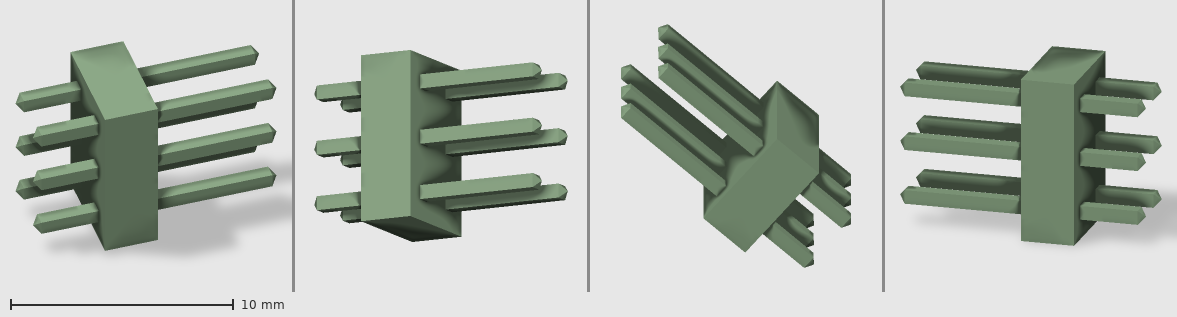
import cadquery as cq

body_width = 5.04
body_depth = 2.5
body_height = 7.62

columns = 2
rows = 3
pitch = 2.54
pin_side = 0.64
tip_length = 0.3
total_length = 11.5
front_reach = 3.0

pin_start = -body_depth / 2 - front_reach
shaft_length = total_length - 2 * tip_length


def make_tip(base_y, point_y):
    """Four-sided pyramid on the Y axis, from a pin-sized base to a point."""
    half = pin_side / 2
    corners = [
        cq.Vector(-half, base_y, -half),
        cq.Vector(half, base_y, -half),
        cq.Vector(half, base_y, half),
        cq.Vector(-half, base_y, half),
    ]
    point = cq.Vector(0, point_y, 0)
    outlines = [corners]
    for i, corner in enumerate(corners):
        outlines.append([corner, corners[i - 1], point])
    faces = [
        cq.Face.makeFromWires(cq.Wire.makePolygon(outline, close=True))
        for outline in outlines
    ]
    return cq.Workplane(cq.Solid.makeSolid(cq.Shell.makeShell(faces)))


def make_pin():
    """Square pin on the Y axis with a pyramid tip at both ends."""
    shaft_start = pin_start + tip_length
    shaft_end = shaft_start + shaft_length
    shaft = (
        cq.Workplane("XY")
        .box(pin_side, shaft_length, pin_side, centered=(True, False, True))
        .translate((0, shaft_start, 0))
    )
    front_tip = make_tip(shaft_start, pin_start)
    back_tip = make_tip(shaft_end, shaft_end + tip_length)
    return shaft.union(front_tip).union(back_tip)


result = cq.Workplane("XY").box(body_width, body_depth, body_height)

pin = make_pin()
for column in range(columns):
    for row in range(rows):
        x = (column - (columns - 1) / 2) * pitch
        z = (row - (rows - 1) / 2) * pitch
        result = result.union(pin.translate((x, 0, z)))